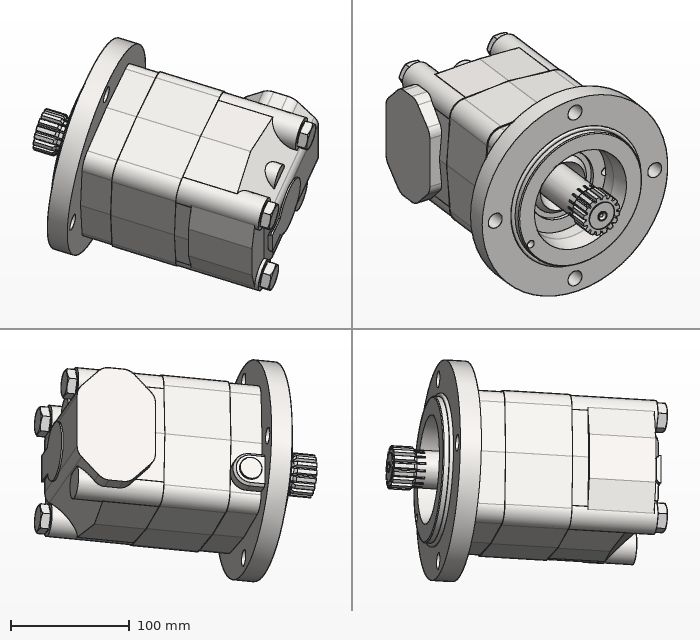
import cadquery as cq
import math


pilot_front = 34.3
flange_front = 42.7
flange_back = 60.7
ring_front = 88.0
cover_front = 145.5
boss_end = 219.5
cover_end = 224.2
overall_length = 228.4

bolt_offset = 44.0
bolt_positions = [(bolt_offset, bolt_offset), (-bolt_offset, bolt_offset), (-bolt_offset, -bolt_offset)]
shank_diameter = 14.0
shank_tip = 68.5
washer_face_diameter = 21.0
washer_face_height = 0.7
hex_across_flats = 22.2
hex_across_corners = hex_across_flats / math.cos(math.pi / 6)
head_chamfer_length = 1.1
head_top_radius = 10.7

flange_diameter = 186.0
flange_hole_diameter = 14.0
flange_hole_radius = 80.0
pilot_radius = 61.9
pilot_chamfer = 1.0
bead_section_radius = 1.8
bead_x = 41.0
bead_radius = 63.3
front_apex = 61.5
front_corner_radius = 14.0

bore_mouth_radius = 46.1
bore_radius = 43.8
taper_end = 51.0
bore_floor = 63.3
recess_radius = 31.7
recess_floor = 66.7
lip_base_radius = 27.0
lip_crest_radius = 22.4
lip_crest = 61.7
lip_throat = 74.2

drain_hole_diameter = 6.9
drain_hole_depth = 6.9
pilot_drain_y = 49.8
pilot_drain_z = -27.9
floor_drain_y = -43.5

drain_boss_x = 73.3
drain_boss_z = pilot_drain_z
drain_boss_radius = ring_front - drain_boss_x
drain_boss_top = 70.8
drain_boss_chamfer = 2.3
plug_diameter = 19.0
plug_top = 73.0

ring_apex = 61.9
ring_corner_radius = 15.0

cover_apex = 62.3
crease_along = 42.2
crease_out = 58.5
corner_boss_radius = 14.5
slope_start = 190.5
slope_round = 13.0
cap_radius = 25.3
cap_top = 225.6
tab_front = 221.7
tab_half_width = 11.9
tab_length = 41.0
tab_chamfer = 2.0
valve_boss_diameter = 24.2
valve_boss_z = 36.3
valve_boss_end = 216.3
valve_boss_start = 194.0

pad_front = 159.2
pad_back = 216.3
pad_out = 64.9
pad_flat_half = 19.5
pad_half_height = 45.7
pad_edge_out = 58.2
tail_out = 36.5

port_half_length = 34.0
port_x = cover_end - port_half_length
port_half_height = 51.0
port_cut_at_top = 11.6
port_round = 13.0
port_top = 72.0
port_root = 34.3

shaft_radius = 16.0
spline_radius = 18.3
spline_front = 1.5
spline_end = 18.7
spline_taper_end = 21.2
tooth_count = 16
groove_end = 28.8
groove_root_radius = 15.3
groove_root_half = 0.57
groove_mouth_half = 2.0
groove_mouth_radius = 19.0
tip_step_radius = 12.5
tip_step_front = 0.7
tip_button_radius = 4.3
center_sink_diameter = 7.0
center_hole_diameter = 3.2
center_hole_depth = 6.9


def plane_x(x):
    """Plane across the axis at station x, with local coordinates (Y, Z)."""
    return cq.Plane(origin=(x, 0, 0), xDir=(0, 1, 0), normal=(1, 0, 0))


def plane_y(y, x=0.0, z=0.0):
    """Plane facing +Y with its origin at (x, y, z) and local coordinates along X and -Z."""
    return cq.Plane(origin=(x, y, z), xDir=(1, 0, 0), normal=(0, 1, 0))


def cylinder_x(x_start, x_end, radius, y=0.0, z=0.0):
    return cq.Workplane(plane_x(x_start)).center(y, z).circle(radius).extrude(x_end - x_start)


def revolve_x(points):
    """Solid of revolution about the shaft axis from (x, radius) points."""
    return cq.Workplane("XY").polyline(points).close().revolve(360, (0, 0, 0), (1, 0, 0))


def casing_block(x_start, x_end, apex, corner_radius):
    """Square block with slightly ridged sides and round corners centred on the bolt pattern."""
    rise = apex - bolt_offset
    reach = math.hypot(rise, bolt_offset)
    tilt = math.acos(corner_radius / reach) - math.atan2(bolt_offset, rise)
    corner = apex / (1 + math.tan(tilt))
    outline = [(0, apex), (corner, corner), (apex, 0), (corner, -corner),
               (0, -apex), (-corner, -corner), (-apex, 0), (-corner, corner)]
    block = cq.Workplane(plane_x(x_start)).polyline(outline).close().extrude(x_end - x_start)
    for y in (corner, -corner):
        for z in (corner, -corner):
            nearest_edge = cq.selectors.NearestToPointSelector(((x_start + x_end) / 2, y, z))
            block = block.edges("|X").edges(nearest_edge).fillet(corner_radius)
    return block


def drill_bolt_holes(body, x_start, x_end):
    for y, z in bolt_positions:
        body = body.cut(cylinder_x(x_start, x_end, shank_diameter / 2, y, z))
    return body


def flange_and_pilot():
    body = cylinder_x(flange_front, flange_back, flange_diameter / 2)
    body = body.union(cylinder_x(pilot_front, flange_front, pilot_radius).faces("<X").chamfer(pilot_chamfer))
    bead = (cq.Workplane("XY").center(bead_x, bead_radius).circle(bead_section_radius)
            .revolve(360, (0, -bead_radius, 0), (1, -bead_radius, 0)))
    body = body.union(bead)
    for y, z in ((1, 0), (0, 1), (-1, 0), (0, -1)):
        hole = cylinder_x(flange_front, flange_back, flange_hole_diameter / 2,
                          y * flange_hole_radius, z * flange_hole_radius)
        body = body.cut(hole)
    return body


def drain_boss():
    """Boss along +Y, straight from the flange and round at its far end, with a drain plug on top."""
    boss_plane = plane_y(0, drain_boss_x, drain_boss_z)
    straight = drain_boss_x - flange_back
    boss = (cq.Workplane(boss_plane)
            .moveTo(-straight, drain_boss_radius)
            .lineTo(0, drain_boss_radius)
            .threePointArc((drain_boss_radius, 0), (0, -drain_boss_radius))
            .lineTo(-straight, -drain_boss_radius)
            .close()
            .extrude(drain_boss_top))
    boss = boss.faces(">Y").edges("not <X").chamfer(drain_boss_chamfer)
    plug = cq.Workplane(boss_plane).circle(plug_diameter / 2).extrude(plug_top)
    return boss.union(plug)


def bore_cavity():
    """Tapered bore, stepped recess with a raised conical lip, and the shaft hole."""
    return revolve_x([
        (pilot_front, 0), (pilot_front, bore_mouth_radius), (taper_end, bore_radius),
        (bore_floor, bore_radius), (bore_floor, recess_radius), (recess_floor, recess_radius),
        (recess_floor, lip_base_radius), (lip_crest, lip_crest_radius), (lip_throat, shaft_radius),
        (ring_front, shaft_radius), (ring_front, 0)])


def make_front_housing():
    body = flange_and_pilot()
    body = body.union(casing_block(flange_back, ring_front, front_apex, front_corner_radius))
    body = body.union(drain_boss())
    body = body.cut(bore_cavity())
    body = body.cut(cylinder_x(pilot_front, pilot_front + drain_hole_depth, drain_hole_diameter / 2,
                               pilot_drain_y, pilot_drain_z))
    body = body.cut(cylinder_x(bore_floor, bore_floor + drain_hole_depth, drain_hole_diameter / 2,
                               floor_drain_y))
    return drill_bolt_holes(body, shank_tip, ring_front)


def make_gear_ring():
    body = casing_block(ring_front, cover_front, ring_apex, ring_corner_radius)
    body = body.cut(cylinder_x(ring_front, cover_front, shaft_radius))
    return drill_bolt_holes(body, ring_front, cover_front)


def slope_envelope():
    """Side outline with 45 degree top and bottom slopes down to a rounded end, as a prism along Y."""
    end_half = cover_apex - (cover_end - slope_start)
    outline = [(cover_front, -cover_apex), (slope_start, -cover_apex), (cover_end, -end_half),
               (cover_end, end_half), (slope_start, cover_apex), (cover_front, cover_apex)]
    prism = cq.Workplane("XZ").polyline(outline).close().extrude(cover_apex, both=True)
    return prism.edges("|Y").edges(">X").fillet(slope_round)


def cover_core():
    """Ridged square block with a sloped end, a step behind the pad and four round corner bosses."""
    apex, along, out = cover_apex, crease_along, crease_out
    outline = [(0, apex), (along, out), (out, along), (apex, 0), (out, -along), (along, -out),
               (0, -apex), (-along, -out), (-out, -along), (-apex, 0), (-out, along), (-along, out)]
    core = cq.Workplane(plane_x(cover_front)).polyline(outline).close().extrude(cover_end - cover_front)
    core = core.intersect(slope_envelope())
    tail_step = (cq.Workplane(plane_x(pad_back)).center(-tail_out - cover_apex / 2, 0)
                 .rect(cover_apex, 2 * cover_apex).extrude(cover_end - pad_back))
    core = core.cut(tail_step)
    for y in (bolt_offset, -bolt_offset):
        for z in (bolt_offset, -bolt_offset):
            core = core.union(cylinder_x(cover_front, boss_end, corner_boss_radius, y, z))
    return core


def cover_pad():
    """Raised pad on the -Y side with two sloping flanks."""
    outline = [(-tail_out, pad_half_height), (-pad_edge_out, pad_half_height), (-pad_out, pad_flat_half),
               (-pad_out, -pad_flat_half), (-pad_edge_out, -pad_half_height), (-tail_out, -pad_half_height)]
    return cq.Workplane(plane_x(pad_front)).polyline(outline).close().extrude(pad_back - pad_front)


def port_block():
    """Port block on the +Y side: a rectangle with 45 degree corner cuts and rounded edges."""
    cut_height = port_half_height - (port_half_length - port_cut_at_top)
    length, height, cut = port_half_length, port_half_height, port_cut_at_top
    outline = [(-cut, height), (cut, height), (length, cut_height), (length, -cut_height),
               (cut, -height), (-cut, -height), (-length, -cut_height), (-length, cut_height)]
    block = (cq.Workplane(plane_y(port_root, port_x)).polyline(outline).close()
             .extrude(port_top - port_root))
    return block.edges("|Y").fillet(port_round)


def end_cap():
    """Flat disc on the end face with a tab towards -Y."""
    disc = cylinder_x(boss_end, cap_top, cap_radius)
    tab = (cq.Workplane(plane_x(tab_front)).center(-tab_length / 2, 0)
           .rect(tab_length, 2 * tab_half_width).extrude(cap_top - tab_front)
           .edges("|Y and <X").chamfer(tab_chamfer))
    return disc.union(tab)


def make_end_cover():
    body = cover_core().union(cover_pad()).union(port_block())
    body = body.union(cylinder_x(valve_boss_start, valve_boss_end, valve_boss_diameter / 2, 0, valve_boss_z))
    body = body.union(end_cap())
    return drill_bolt_holes(body, cover_front, boss_end)


def spline_groove(index):
    """Tapered groove between two teeth, running out into the plain shaft."""
    outline = [(-groove_root_half, groove_root_radius), (groove_root_half, groove_root_radius),
               (groove_mouth_half, groove_mouth_radius), (-groove_mouth_half, groove_mouth_radius)]
    groove = cq.Workplane(plane_x(0)).polyline(outline).close().extrude(groove_end)
    return groove.rotate((0, 0, 0), (1, 0, 0), index * 360 / tooth_count)


def make_shaft():
    sink_radius = center_sink_diameter / 2
    hole_radius = center_hole_diameter / 2
    sink_depth = sink_radius - hole_radius
    shaft = revolve_x([
        (center_hole_depth, 0), (center_hole_depth, hole_radius), (sink_depth, hole_radius),
        (0, sink_radius), (0, tip_button_radius), (tip_step_front, tip_button_radius),
        (tip_step_front, tip_step_radius), (spline_front, tip_step_radius),
        (spline_front, spline_radius), (spline_end, spline_radius),
        (spline_taper_end, shaft_radius), (cover_front, shaft_radius), (cover_front, 0)])
    for index in range(tooth_count):
        shaft = shaft.cut(spline_groove(index))
    return shaft


def make_bolt(y, z):
    """Hex bolt with its shank along X and its head on the end cover boss."""
    hex_base = boss_end + washer_face_height
    head = (cq.Workplane(plane_x(hex_base)).polygon(6, hex_across_corners)
            .extrude(overall_length - hex_base))
    corner_radius = hex_across_corners / 2
    chamfer_cone = revolve_x([
        (hex_base, 0), (hex_base, corner_radius), (overall_length - head_chamfer_length, corner_radius),
        (overall_length, head_top_radius), (overall_length, 0)])
    head = head.intersect(chamfer_cone)
    bolt = head.union(cylinder_x(boss_end, hex_base, washer_face_diameter / 2))
    bolt = bolt.union(cylinder_x(shank_tip, boss_end, shank_diameter / 2))
    return bolt.translate((0, y, z))


front_housing = make_front_housing()
gear_ring = make_gear_ring()
end_cover = make_end_cover()
shaft = make_shaft()
bolts = [make_bolt(y, z) for y, z in bolt_positions]

result = cq.Compound.makeCompound([
    front_housing.val(), gear_ring.val(), end_cover.val(), shaft.val(),
    *[bolt.val() for bolt in bolts]])